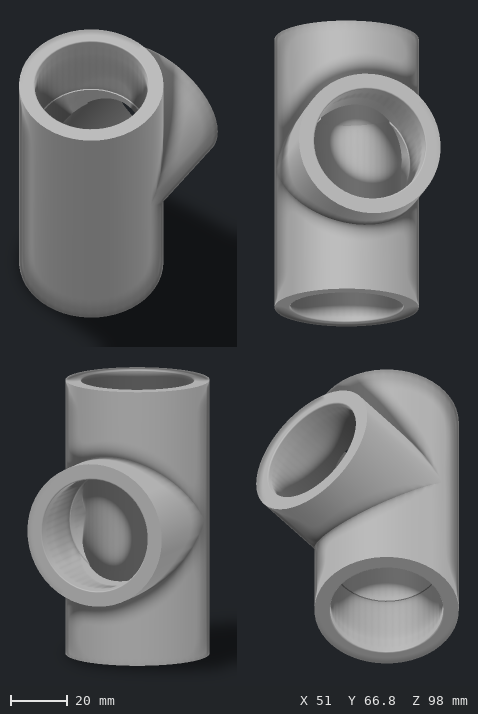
import cadquery as cq

run_length = 98.0
outer_diameter = 51.0
overall_depth = 66.8
bore_diameter = 39.0
socket_diameter = 40.0
socket_depth = 26.3
mouth_fillet = 0.5

outer_radius = outer_diameter / 2
half_run = run_length / 2
branch_reach = overall_depth - outer_radius


def arm_cavity(reach):
    """Bore, socket and rounded mouth of an arm that rises along Z to the given reach."""
    bore_radius = bore_diameter / 2
    socket_radius = socket_diameter / 2
    profile = (
        cq.Workplane("XZ")
        .lineTo(bore_radius, 0)
        .lineTo(bore_radius, reach - socket_depth)
        .lineTo(socket_radius, reach - socket_depth)
        .lineTo(socket_radius, reach - mouth_fillet)
        .radiusArc((socket_radius + mouth_fillet, reach), mouth_fillet)
        .lineTo(0, reach)
        .close()
    )
    return profile.revolve(360, (0, 0, 0), (0, 1, 0))


def toward_branch(shape):
    """Turn a shape from the +Z direction to +Y."""
    return shape.rotate((0, 0, 0), (1, 0, 0), -90)


upper_cavity = arm_cavity(half_run)
lower_cavity = upper_cavity.mirror("XY")
branch_cavity = toward_branch(arm_cavity(branch_reach))
cavity = upper_cavity.union(lower_cavity).union(branch_cavity)

miter_wedge = (
    cq.Workplane("YZ")
    .polyline([(0, 0), (branch_reach, branch_reach), (branch_reach, -branch_reach)])
    .close()
    .extrude(outer_radius, both=True)
)


def make_run():
    """Straight pipe along Z, notched where the branch seats."""
    pipe = cq.Workplane("XY").circle(outer_radius).extrude(half_run, both=True)
    return pipe.cut(miter_wedge).cut(cavity)


def make_branch():
    """Side pipe along +Y, its inner end mitred to fit the notch of the run."""
    pipe = toward_branch(cq.Workplane("XY").circle(outer_radius).extrude(branch_reach))
    return pipe.intersect(miter_wedge).cut(cavity)


run = make_run()
branch = make_branch()

result = cq.Compound.makeCompound([run.val(), branch.val()])